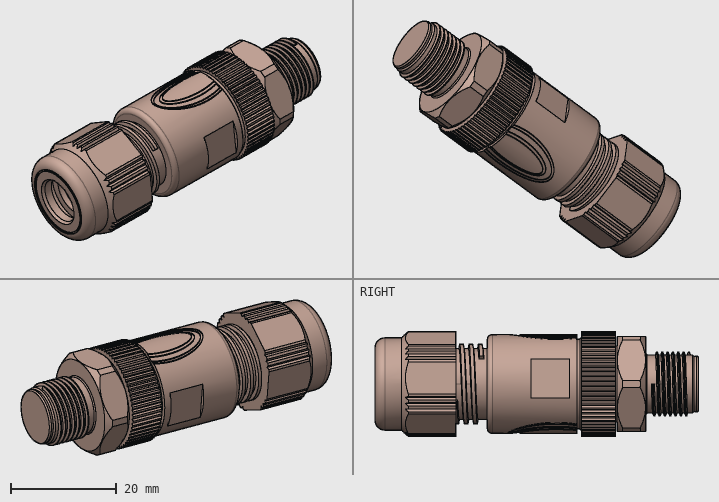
import cadquery as cq
import math

LENGTH = 61.1
TIP_Y = LENGTH / 2

TIP_END = 1.15
HEX_START = 9.95
HEX_END = 15.4
KNURL_START = 15.65
KNURL_END = 22.05
BODY_START = 23.0
BODY_END = 39.9
NUT_START = 45.8
NUT_CONE_START = 54.8
NUT_CONE_END = 56.1

NOSE_R = 5.5
TIP_R = 5.15
LIP_R = 5.3
LIP_AT = 0.35
LIP_GROOVE_R = 5.2
LIP_GROOVE_AT = 0.85
NOSE_FLARE = 0.25

PLUG_THREAD_LENGTH = 6.8
PLUG_CREST_R = 6.05
PLUG_THREAD_START = 1.85
PLUG_TURNS = 6.75
PLUG_START_ANGLE = 90
PLUG_ROOT_WIDTH = 0.75
PLUG_CREST_WIDTH = 0.2

HALF_SIDE_ANGLE = 30
HEXAGON_SIDES = 6

HEX_FLATS = 17.95
HEX_CORNERS = 20.0
HEX_CORNER_R = HEX_CORNERS / 2
HEX_FACE_R = 8.9
HEX_CHAMFER = 1.05

KNURL_R = 9.9
KNURL_DEPTH = 0.35
KNURL_TEETH = 64
KNURL_LAND_SHARE = 0.4
NECK_R = 7.2
COLLAR_R = 8.9
COLLAR_TAPER_R = 8.5
COLLAR_TAPER_END = 22.4

BODY_R = 9.35
BODY_FILLET = 1.0
TILT = 7.0
FLAT_START = 24.4
FLAT_END = 31.6
FLAT_WIDTH = 7.4

BADGE_AT = 26.9
BADGE_OUTER = (4.75, 9.1)
BADGE_STEP = (4.15, 8.7)
BADGE_FLOOR = (3.1, 7.45)
BADGE_PANEL = (2.55, 6.85)
BADGE_DEPTH = 0.35

GLAND_CORE_R = 6.7
GLAND_CREST_R = 7.5
GLAND_PITCH = 1.8
GLAND_THREAD_START = 41.0
GLAND_TURNS = 2.8
GLAND_START_ANGLE = 45
GLAND_ROOT_WIDTH = 1.05
GLAND_CREST_WIDTH = 0.7

NUT_R = 9.9
NUT_FLAT_WIDTH = 6.1
RIB_GROOVE_WIDTH = 0.75
RIB_GROOVE_DEPTH = 0.5
RIB_GROOVE_ANGLE = 7.3
CAP_R = 8.75
CAP_FILLET = 1.9

FACE_GROOVE_OUTER_R = 6.7
FACE_GROOVE_WIDTH = 0.3
FACE_GROOVE_DEPTH = 0.2
MOUTH_R = 4.7
MOUTH_CHAMFER_DEPTH = 0.55
ENTRY_R = 4.35
ENTRY_DEPTH = 2.15
UNDERCUT_R = 5.8
UNDERCUT_DEPTH = 3.65
BORE_R = 4.2
BORE_DEPTH = 4.9

OVERLAP = 0.2


def plane_at(station):
    """Cross-section plane at a station; extruding runs towards the cable end."""
    return cq.Workplane("XZ", origin=(0, TIP_Y - station, 0))


def turned(points):
    """Revolve (radius, station) points about the Y axis, closing the outline on the axis."""
    outline = [(0, points[0][1])] + points + [(0, points[-1][1])]
    flipped = [(radius, TIP_Y - station) for radius, station in outline]
    return cq.Workplane("XY").polyline(flipped).close().revolve(360, (0, 0, 0), (0, 1, 0))


def disc(radius, start, end):
    return plane_at(start).circle(radius).extrude(end - start)


def about_axis(shape, angle):
    """Turn a shape about the Y axis, from +X towards +Z for a positive angle."""
    return shape.rotate((0, 0, 0), (0, 1, 0), -angle)


def thread(core_r, crest_r, pitch, turns, start, start_angle, root_width, crest_width):
    """Right-handed thread ridge with a trapezoid profile, rooted inside the core."""
    path = cq.Wire.makeHelix(pitch, pitch * turns, core_r)
    profile = [
        (core_r - OVERLAP, -root_width / 2),
        (crest_r, -crest_width / 2),
        (crest_r, crest_width / 2),
        (core_r - OVERLAP, root_width / 2),
    ]
    ridge = cq.Workplane("XZ").polyline(profile).close().sweep(cq.Workplane(path), isFrenet=True)
    ridge = ridge.rotate((0, 0, 0), (1, 0, 0), 90).translate((0, TIP_Y - start, 0))
    return about_axis(ridge, start_angle)


def plug_nose():
    core = turned([
        (TIP_R, 0),
        (LIP_R, LIP_AT),
        (LIP_GROOVE_R, LIP_GROOVE_AT),
        (NOSE_R, TIP_END),
        (NOSE_R, HEX_START - NOSE_FLARE),
        (NOSE_R + NOSE_FLARE, HEX_START),
        (NOSE_R + NOSE_FLARE, HEX_END),
    ])
    pitch = PLUG_THREAD_LENGTH / PLUG_TURNS
    ridge = thread(NOSE_R, PLUG_CREST_R, pitch, PLUG_TURNS, PLUG_THREAD_START,
                   PLUG_START_ANGLE, PLUG_ROOT_WIDTH, PLUG_CREST_WIDTH)
    return core.union(ridge)


def hexagonal_prism(across_flats, start, end):
    """Hexagonal prism with corners on the X axis."""
    across_corners = across_flats / math.cos(math.radians(HALF_SIDE_ANGLE))
    return plane_at(start).polygon(HEXAGON_SIDES, across_corners).extrude(end - start)


def hexagon():
    prism = hexagonal_prism(HEX_FLATS, HEX_START, HEX_END)
    corner_cut = about_axis(hexagonal_prism(HEX_CORNERS, HEX_START, HEX_END), HALF_SIDE_ANGLE)
    cone_r = HEX_CORNER_R + OVERLAP
    cone_length = HEX_CHAMFER * (cone_r - HEX_FACE_R) / (HEX_CORNER_R - HEX_FACE_R)
    chamfers = turned([
        (HEX_FACE_R, HEX_START),
        (cone_r, HEX_START + cone_length),
        (cone_r, HEX_END - cone_length),
        (HEX_FACE_R, HEX_END),
    ])
    return prism.intersect(corner_cut).intersect(chamfers)


def knurled_ring():
    """Ring with V grooves between narrow lands."""
    pitch_angle = 2 * math.pi / KNURL_TEETH
    half_land = pitch_angle * KNURL_LAND_SHARE / 2
    root_r = KNURL_R - KNURL_DEPTH
    outline = []
    for tooth in range(KNURL_TEETH):
        middle = tooth * pitch_angle
        corners = [
            (KNURL_R, middle - half_land),
            (KNURL_R, middle + half_land),
            (root_r, middle + pitch_angle / 2),
        ]
        outline += [(r * math.cos(a), r * math.sin(a)) for r, a in corners]
    ring = plane_at(KNURL_START).polyline(outline).close().extrude(KNURL_END - KNURL_START)
    neck = disc(NECK_R, HEX_END - OVERLAP, KNURL_START + OVERLAP)
    collar = turned([
        (COLLAR_R, KNURL_END - OVERLAP),
        (COLLAR_R, KNURL_END),
        (COLLAR_TAPER_R, COLLAR_TAPER_END),
        (COLLAR_TAPER_R, BODY_START + OVERLAP),
    ])
    return ring.union(neck).union(collar)


def badge_groove(outer, inner, depth):
    """Elliptical band sunk into the top and bottom of the body to a constant depth."""
    band = (
        cq.Workplane("XY", origin=(0, TIP_Y - BADGE_AT, -2 * BODY_R))
        .ellipse(*outer)
        .ellipse(*inner)
        .extrude(4 * BODY_R)
    )
    shell = (
        plane_at(BODY_START)
        .circle(BODY_R + depth)
        .circle(BODY_R - depth)
        .extrude(BODY_END - BODY_START)
    )
    return band.intersect(shell)


def body():
    shape = disc(BODY_R, BODY_START, BODY_END).faces("<Y").edges().fillet(BODY_FILLET)
    flat_x = math.sqrt(BODY_R ** 2 - (FLAT_WIDTH / 2) ** 2)
    flat_length = FLAT_END - FLAT_START
    for side in (-1, 1):
        recess = plane_at(FLAT_START).center(side * (flat_x + BODY_R / 2), 0)
        shape = shape.cut(recess.rect(BODY_R, 2 * BODY_R).extrude(flat_length))
    shape = shape.cut(badge_groove(BADGE_OUTER, BADGE_PANEL, BADGE_DEPTH / 2))
    shape = shape.cut(badge_groove(BADGE_STEP, BADGE_FLOOR, BADGE_DEPTH))
    return about_axis(shape, TILT)


def gland_thread():
    core = disc(GLAND_CORE_R, BODY_END - OVERLAP, NUT_CONE_START)
    ridge = thread(GLAND_CORE_R, GLAND_CREST_R, GLAND_PITCH, GLAND_TURNS, GLAND_THREAD_START,
                   GLAND_START_ANGLE, GLAND_ROOT_WIDTH, GLAND_CREST_WIDTH)
    return core.union(ridge)


def gland_nut():
    barrel = turned([(NUT_R, NUT_START), (NUT_R, NUT_CONE_START), (CAP_R, NUT_CONE_END)])
    length = NUT_CONE_END - NUT_START
    flat_distance = math.sqrt(NUT_R ** 2 - (NUT_FLAT_WIDTH / 2) ** 2)
    facets = hexagonal_prism(2 * flat_distance, NUT_START, NUT_CONE_END)
    barrel = barrel.intersect(about_axis(facets, HALF_SIDE_ANGLE))

    groove_profile = [
        (NUT_R - RIB_GROOVE_DEPTH, 0),
        (NUT_R, RIB_GROOVE_WIDTH / 2),
        (NUT_R + OVERLAP, RIB_GROOVE_WIDTH / 2),
        (NUT_R + OVERLAP, -RIB_GROOVE_WIDTH / 2),
        (NUT_R, -RIB_GROOVE_WIDTH / 2),
    ]
    groove = plane_at(NUT_START).polyline(groove_profile).close().extrude(length)
    for corner in range(HEXAGON_SIDES):
        middle = (2 * corner + 1) * HALF_SIDE_ANGLE
        for step in (-1, 0, 1):
            barrel = barrel.cut(about_axis(groove, middle + step * RIB_GROOVE_ANGLE))
    return about_axis(barrel, TILT)


def cap():
    shape = disc(CAP_R, NUT_CONE_END - OVERLAP, LENGTH).faces("<Y").edges().fillet(CAP_FILLET)
    face_groove = (
        plane_at(LENGTH - FACE_GROOVE_DEPTH)
        .circle(FACE_GROOVE_OUTER_R)
        .circle(FACE_GROOVE_OUTER_R - FACE_GROOVE_WIDTH)
        .extrude(FACE_GROOVE_DEPTH)
    )
    return shape.cut(face_groove)


def cable_entry():
    """Chamfered mouth, undercut behind it and a flat-bottomed bore."""
    return turned([
        (BORE_R, LENGTH - BORE_DEPTH),
        (BORE_R, LENGTH - UNDERCUT_DEPTH),
        (UNDERCUT_R, LENGTH - UNDERCUT_DEPTH),
        (UNDERCUT_R, LENGTH - ENTRY_DEPTH),
        (ENTRY_R, LENGTH - ENTRY_DEPTH),
        (ENTRY_R, LENGTH - MOUTH_CHAMFER_DEPTH),
        (MOUTH_R, LENGTH),
    ])


result = (
    plug_nose()
    .union(hexagon())
    .union(knurled_ring())
    .union(body())
    .union(gland_thread())
    .union(gland_nut())
    .union(cap())
    .cut(cable_entry())
)